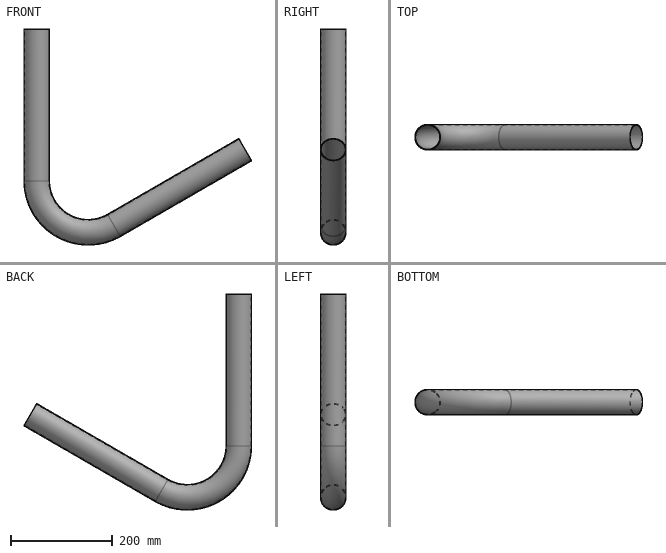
import cadquery as cq
import math

overall_length = 450.5
outer_diameter = 51.0
inner_diameter = 47.7
bend_radius = 101.8
bend_angle = 120.0

rise = math.radians(bend_angle - 90.0)
outer_radius = outer_diameter / 2

bend_reach = bend_radius * (1 + math.sin(rise))
end_reach = outer_radius * (1 + math.sin(rise))
leg_length = (overall_length - bend_reach - end_reach) / math.cos(rise)


def bend_point(turn):
    """Centreline point after turning the given angle (radians) from the vertical leg."""
    return (bend_radius * (1 - math.cos(turn)), -bend_radius * math.sin(turn))


full_turn = math.radians(bend_angle)
bend_end = bend_point(full_turn)
tip = (
    bend_end[0] + leg_length * math.cos(rise),
    bend_end[1] + leg_length * math.sin(rise),
)
centreline = (
    cq.Workplane("XZ")
    .moveTo(0, leg_length)
    .lineTo(0, 0)
    .threePointArc(bend_point(full_turn / 2), bend_end)
    .lineTo(*tip)
)

result = (
    cq.Workplane("XY", origin=(0, 0, leg_length))
    .circle(outer_radius)
    .circle(inner_diameter / 2)
    .sweep(centreline)
)